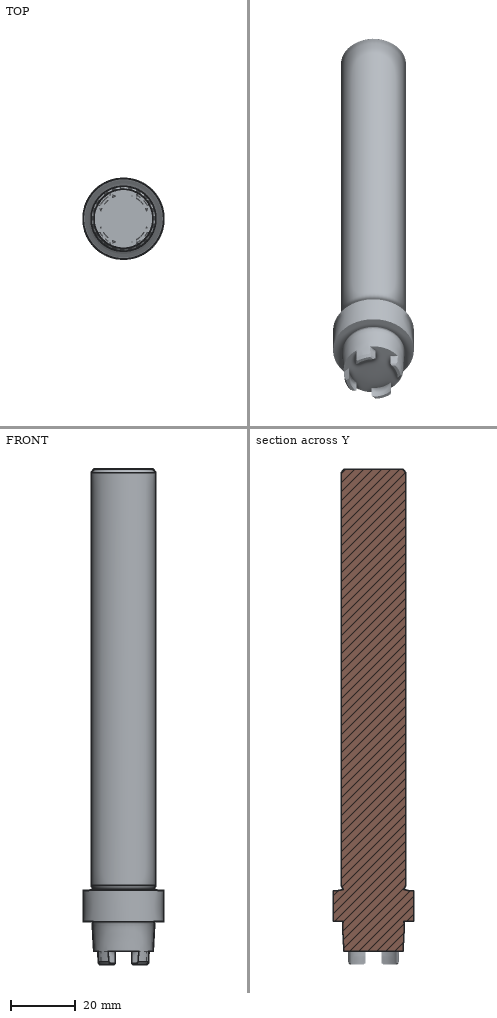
import cadquery as cq

total_length = 153
prong_length = 4.1
collar_bottom = 13.3
collar_height = 9.6
collar_top = collar_bottom + collar_height

shaft_radius = 20.0 / 2
shaft_chamfer_width = 0.9
shaft_chamfer_height = 1.2
collar_radius = 25.0 / 2

groove_radius = 18.8 / 2
groove_height = 1.5
flare_radius = 21.7 / 2
flare_height = 0.3

nose_top_radius = 19.3 / 2
nose_end_radius = 18.0 / 2
neck_radius = 18.8 / 2
neck_height = 0.9
nose_chamfer_width = 0.6
nose_chamfer_height = 0.9

prong_count = 4
first_prong_angle = 45
prong_root_width = 6.7
prong_tip_width = 4.0
prong_tip_radius = 9.5
prong_root_radius = 6.5
prong_inner_radius = 7.5
prong_chamfer = 0.5


def make_turned_body():
    """Revolve the nose, collar and shaft about Z."""
    shaft_bottom = collar_top + groove_height
    nose_top = collar_bottom - neck_height
    profile = [
        (0, 0),
        (nose_end_radius - nose_chamfer_width, 0),
        (nose_end_radius, nose_chamfer_height),
        (nose_top_radius, nose_top),
        (neck_radius, collar_bottom),
        (collar_radius, collar_bottom),
        (collar_radius, collar_top),
        (flare_radius, collar_top),
        (groove_radius, collar_top + flare_height),
        (shaft_radius, shaft_bottom),
        (shaft_radius, total_length - shaft_chamfer_height),
        (shaft_radius - shaft_chamfer_width, total_length),
        (0, total_length),
    ]
    return cq.Workplane("XZ").polyline(profile).close().revolve(360, (0, 0), (0, 1))


def make_prong_envelope():
    """Four radial bars narrowing outwards, with chamfered lower edges, hollow around the axis."""
    bar_outline = [
        (prong_root_radius, -prong_root_width / 2),
        (prong_tip_radius, -prong_tip_width / 2),
        (prong_tip_radius, prong_tip_width / 2),
        (prong_root_radius, prong_root_width / 2),
    ]
    envelope = cq.Workplane("XY")
    for index in range(prong_count):
        angle = first_prong_angle + index * 360 / prong_count
        bar = (
            cq.Workplane("XY")
            .polyline(bar_outline)
            .close()
            .extrude(prong_length)
            .faces("<Z")
            .edges()
            .chamfer(prong_chamfer)
            .rotate((0, 0, 0), (0, 0, 1), angle)
        )
        envelope = envelope.add(bar)
    bars = envelope.combine()
    hollow = cq.Workplane("XY").circle(prong_inner_radius).extrude(prong_length)
    return bars.cut(hollow)


def make_prong_clearance():
    """Material to remove between and inside the prongs."""
    end_disc = cq.Workplane("XY").circle(collar_radius).extrude(prong_length)
    return end_disc.cut(make_prong_envelope())


result = make_turned_body().cut(make_prong_clearance())